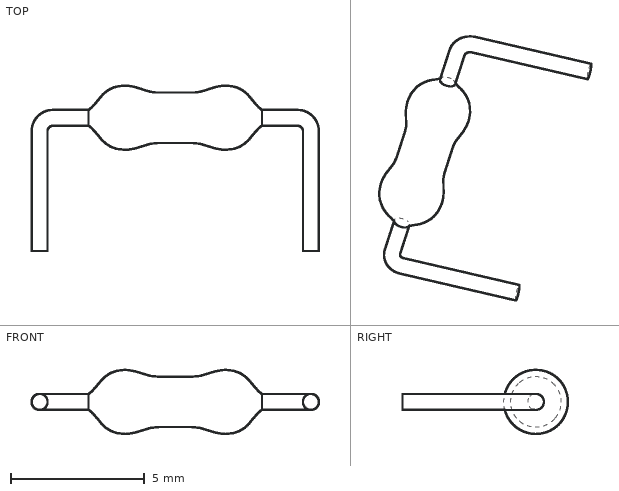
import cadquery as cq


overall_length = 10.76
wire_diameter = 0.6
wire_radius = wire_diameter / 2
bend_radius = 0.51
lead_reach = 4.99
lead_x = overall_length / 2 - wire_radius

bulb_radius = 1.2
bulb_x = 1.88
waist_radius = 0.95
waist_half_length = 0.62
shoulder_x = 2.73
shoulder_radius = 0.85
body_half_length = 3.24
end_slope = (1.0, -0.7)
along_axis = (1.0, 0.0)


def make_body_half():
    """Revolve the +X half of the body about the X axis."""
    waist_end = (waist_half_length, waist_radius)
    bulb_top = (bulb_x, bulb_radius)
    shoulder = (shoulder_x, shoulder_radius)
    wire_joint = (body_half_length, wire_radius)
    return (
        cq.Workplane("XY")
        .lineTo(0, waist_radius)
        .lineTo(*waist_end)
        .spline([bulb_top], tangents=[along_axis, along_axis], includeCurrent=True)
        .spline([shoulder, wire_joint], tangents=[along_axis, end_slope], includeCurrent=True)
        .lineTo(body_half_length, 0)
        .close()
        .revolve(360, (0, 0, 0), (1, 0, 0))
    )


def make_lead():
    """Sweep the +X lead from the middle of the body to its cut end."""
    bend_start_x = lead_x - bend_radius
    path = (
        cq.Workplane("XY")
        .lineTo(bend_start_x, 0)
        .tangentArcPoint((lead_x, -bend_radius), relative=False)
        .lineTo(lead_x, -lead_reach)
    )
    return cq.Workplane("YZ").circle(wire_radius).sweep(path)


right_half = make_body_half().union(make_lead())
result = right_half.union(right_half.mirror("YZ"))